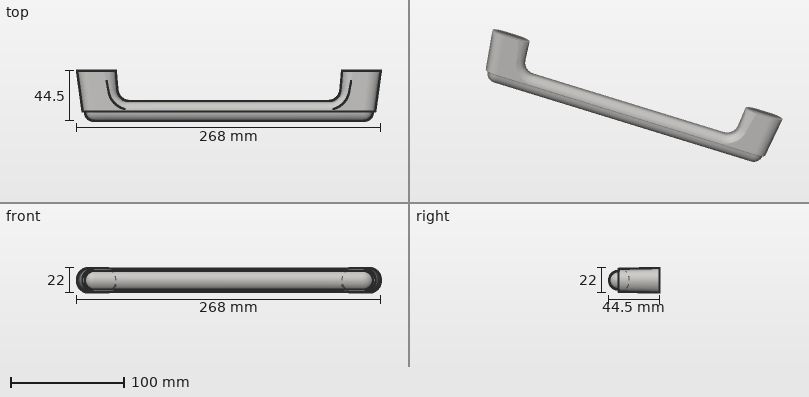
import cadquery as cq
import math

length = 268.0
total_depth = 44.5
mount_height = 22.0

insert_radius = 8.3
insert_end_inset = 7.0

front_height = 20.5
end_draft = 4.8
lip_depth = 0.8
lip_fillet = 0.78
front_y = insert_radius - total_depth
lip_y = front_y + lip_depth

leg_width = 34.3
bar_back_y = -26.8
elbow_radius = 10.5
section_reach = 53.5
leg_lean = math.radians(5)

elbow_y = bar_back_y + elbow_radius * (1 - math.sin(leg_lean))
leg_inner_x = leg_width - length / 2
elbow_start = (leg_inner_x - elbow_y * math.tan(leg_lean), elbow_y)
elbow_center = (
    elbow_start[0] + elbow_radius * math.cos(leg_lean),
    bar_back_y + elbow_radius,
)
elbow_end = (elbow_center[0], bar_back_y)
elbow_mid_angle = (5 * math.pi / 2 + leg_lean) / 2
elbow_mid = (
    elbow_center[0] + elbow_radius * math.cos(elbow_mid_angle),
    elbow_center[1] + elbow_radius * math.sin(elbow_mid_angle),
)


def slot_wire(y, slot_length, slot_height):
    """Stadium outline, standing upright in the XZ plane at the given Y."""
    return (
        cq.Workplane("XZ", origin=(0, y, 0))
        .slot2D(slot_length, slot_height)
        .wires()
        .val()
    )


def make_blank():
    """Full stadium block that narrows from the mount to the lip, without the finger opening."""
    lip_length = length - 2 * end_draft
    back = slot_wire(0, length, mount_height)
    front = slot_wire(lip_y, lip_length, front_height)
    drafted = cq.Workplane(cq.Solid.makeLoft([back, front], True))
    lip = (
        cq.Workplane("XZ", origin=(0, lip_y, 0))
        .slot2D(lip_length, front_height)
        .extrude(lip_depth)
        .faces("<Y")
        .edges()
        .fillet(lip_fillet)
    )
    return drafted.union(lip)


def rounded_section(point, direction, height, round_depth):
    """Section across the inner line: half-ellipse toward the opening, square on the outer side."""
    outward = (direction[1], -direction[0], 0)
    plane = cq.Plane((*point, 0), xDir=outward, normal=(*direction, 0))
    half = height / 2
    return (
        cq.Workplane(plane)
        .moveTo(section_reach, -half)
        .lineTo(section_reach, half)
        .lineTo(round_depth, half)
        .ellipseArc(round_depth, half, 90, 270, startAtCurrent=True)
        .close()
    )


def make_envelope():
    """Rounded inner side of both legs, their elbows and the bar between them."""
    leg_direction = (math.sin(leg_lean), -math.cos(leg_lean))
    bar_direction = (1, 0)
    leg_size = (mount_height, mount_height / 2)
    bar_size = (front_height, bar_back_y - lip_y)

    leg_length = elbow_radius - elbow_y
    leg = rounded_section(elbow_start, leg_direction, *leg_size).extrude(-leg_length)

    elbow_path = cq.Workplane("XY").moveTo(*elbow_start).threePointArc(elbow_mid, elbow_end)
    elbow_sections = [
        rounded_section(elbow_start, leg_direction, *leg_size).val(),
        rounded_section(elbow_end, bar_direction, *bar_size).val(),
    ]
    elbow = cq.Solid.sweep_multi(elbow_sections, elbow_path.val())
    left_end = leg.union(cq.Workplane(elbow))

    bar_length = -2 * elbow_end[0]
    bar = rounded_section(elbow_end, bar_direction, *bar_size).extrude(bar_length)
    return bar.union(left_end).union(left_end.mirror("YZ"))


def make_handle():
    """U-shaped body: the blank trimmed to the rounded inner side of legs and bar."""
    return make_blank().intersect(make_envelope()).solids()


def make_insert():
    """Front half of a round bar with ball ends, lying flat on the handle front."""
    tip_x = length / 2 - insert_end_inset
    straight = tip_x - insert_radius
    return (
        cq.Workplane("XZ", origin=(0, front_y, 0))
        .moveTo(-tip_x, 0)
        .radiusArc((-straight, insert_radius), insert_radius)
        .lineTo(straight, insert_radius)
        .radiusArc((tip_x, 0), insert_radius)
        .close()
        .revolve(180, (0, 0, 0), (1, 0, 0))
    )


handle = make_handle()
insert = make_insert()
result = cq.Compound.makeCompound([handle.val(), insert.val()])